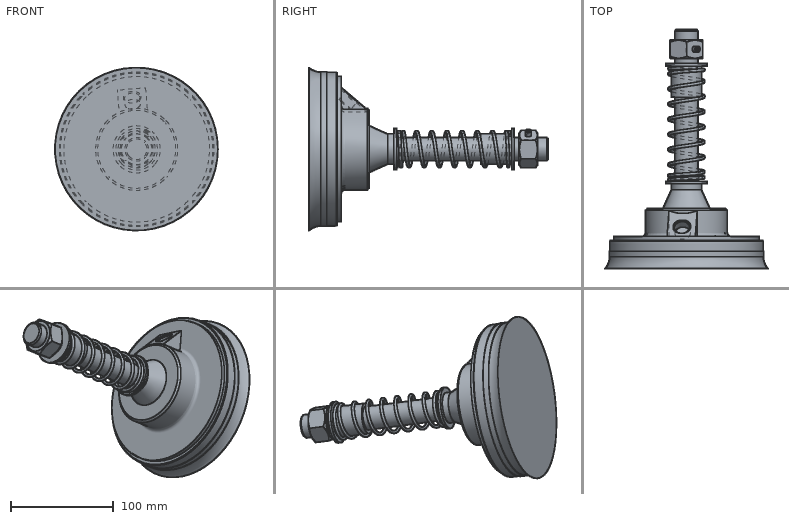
import cadquery as cq
import math


lip_radius = 79.455
lip_edge_height = 2.1
lip_edge_radius = 77.9
lip_curve_height = 6.5
lip_curve_radius = 75.9
lip_root_height = 11.4
band_radius = 75.4
band_top = 17.2
rim_radius = 75.0
rim_bevel_start = 24.7
rim_bevel = 0.15
rim_top = 27.6
rim_chamfer = 0.8
plate_radius = 71.0
plate_top = 31.6

hub_radius = 40.0
hub_top = 58.7
hub_chamfer = 2.0
hub_foot_fillet = 3.4
cone_base_radius = 23.0
cone_neck_radius = 14.83
cone_top = 76.7
collar_radius = 15.0

stem_radius = 11.495
stem_top = 233.01
stem_chamfer = 1.5
washer_radius = 20.245
washer_thickness = 2.6
lower_washer_base = 82.8
upper_washer_base = 197.4
sleeve_radius = collar_radius
sleeve_base = 167.2

wire_diameter = 2.9
spring_radius = 16.65
spring_datum_height = 86.8
spring_first_turn = -0.35
spring_last_turn = 9.35
lower_dead_pitch = 4.0
active_pitch = 14.77
upper_dead_pitch = 2.6
lower_ramp = (1.1, 1.7)
upper_ramp = (7.9, 8.5)
points_per_turn = 12

nut_across_flats = 31.8
nut_across_corners = nut_across_flats / math.cos(math.pi / 6)
nut_base = 204.6
nut_thickness = 18.4
nut_top = nut_base + nut_thickness
nut_end_radius = 15.2
nut_chamfer_angle = 35.0
nut_turn = 1.5
screw_diameter = 6.0
screw_tip_diameter = 4.92
screw_root = 12.0
screw_reach = 21.2
socket_across_corners = 3.0
socket_depth = 2.0

boss_width = 27.6
boss_turn = 5.0
boss_top_height = 56.7
boss_top_reach = 37.5
boss_foot_reach = 59.0
boss_slope = (boss_foot_reach - boss_top_reach) / (boss_top_height - plate_top)
port_diameter = 14.95
port_mouth_diameter = 17.2
port_depth = 9.3
port_height = 40.9


def revolve_about_stem(profile):
    return profile.close().revolve(360, (0, 0, 0), (0, 1, 0))


def turn_about_stem(body, degrees):
    return body.rotate((0, 0, 0), (0, 1, 0), degrees)


def make_disc(radius, base, top):
    return cq.Workplane("XZ", origin=(0, base, 0)).circle(radius).extrude(base - top)


def make_cup():
    profile = (
        cq.Workplane("XY")
        .lineTo(lip_radius, 0)
        .lineTo(lip_edge_radius, lip_edge_height)
        .threePointArc((lip_curve_radius, lip_curve_height), (rim_radius, lip_root_height))
        .lineTo(band_radius, lip_root_height)
        .lineTo(band_radius, band_top)
        .lineTo(rim_radius, band_top)
        .lineTo(rim_radius, rim_bevel_start)
        .lineTo(rim_radius - rim_bevel, rim_top - rim_chamfer)
        .lineTo(rim_radius - rim_chamfer, rim_top)
        .lineTo(plate_radius, rim_top)
        .lineTo(plate_radius, plate_top)
        .lineTo(0, plate_top)
    )
    return revolve_about_stem(profile)


def make_hub_and_stem():
    foot_radius = hub_radius + hub_foot_fillet
    foot_top = plate_top + hub_foot_fillet
    arc_offset = hub_foot_fillet * (1 - math.sqrt(0.5))
    profile = (
        cq.Workplane("XY")
        .moveTo(0, rim_top)
        .lineTo(foot_radius, rim_top)
        .lineTo(foot_radius, plate_top)
        .threePointArc((hub_radius + arc_offset, plate_top + arc_offset), (hub_radius, foot_top))
        .lineTo(hub_radius, hub_top - hub_chamfer)
        .lineTo(hub_radius - hub_chamfer, hub_top)
        .lineTo(cone_base_radius, hub_top)
        .lineTo(cone_neck_radius, cone_top)
        .lineTo(collar_radius, cone_top)
        .lineTo(collar_radius, lower_washer_base)
        .lineTo(stem_radius, lower_washer_base)
        .lineTo(stem_radius, stem_top - stem_chamfer)
        .lineTo(stem_radius - stem_chamfer, stem_top)
        .lineTo(0, stem_top)
    )
    return revolve_about_stem(profile)


def make_port_boss():
    wedge = [
        (rim_top, 0),
        (rim_top, boss_foot_reach),
        (plate_top, boss_foot_reach),
        (boss_top_height, boss_top_reach),
        (boss_top_height, 0),
    ]
    boss = cq.Workplane("YZ").polyline(wedge).close().extrude(boss_width / 2, both=True)
    return turn_about_stem(boss, -boss_turn)


def make_port():
    port_reach = boss_foot_reach - boss_slope * (port_height - plate_top)
    mouth_depth = (port_mouth_diameter - port_diameter) / 2
    face = cq.Plane(origin=(0, port_height, port_reach), xDir=(1, 0, 0), normal=(0, boss_slope, 1))
    bore = cq.Workplane(face).circle(port_diameter / 2).extrude(-port_depth)
    mouth = cq.Workplane(face).circle(port_mouth_diameter / 2).extrude(-mouth_depth, taper=45)
    return turn_about_stem(bore.union(mouth), -boss_turn)


def make_washer(base):
    return make_disc(washer_radius, base, base + washer_thickness)


def turns_past_ramp(turn, ramp):
    """Turns made after a gradual pitch change, counting those within it by how far it has gone."""
    start, end = ramp
    if turn <= start:
        return 0
    if turn < end:
        return (turn - start) ** 2 / (2 * (end - start))
    return turn - (start + end) / 2


def spring_point(turn):
    height = spring_datum_height + lower_dead_pitch * turn
    height += (active_pitch - lower_dead_pitch) * turns_past_ramp(turn, lower_ramp)
    height += (upper_dead_pitch - active_pitch) * turns_past_ramp(turn, upper_ramp)
    angle = 2 * math.pi * turn
    return (-spring_radius * math.cos(angle), height, spring_radius * math.sin(angle))


def make_spring():
    turns = spring_last_turn - spring_first_turn
    steps = round(turns * points_per_turn)
    points = [spring_point(spring_first_turn + turns * step / steps) for step in range(steps + 1)]
    path = cq.Workplane("XY").spline(points)
    wire_end = cq.Plane(origin=points[0], xDir=(1, 0, 0), normal=path.val().tangentAt(0))
    return cq.Workplane(wire_end).circle(wire_diameter / 2).sweep(path, isFrenet=True)


def make_nut():
    corner_radius = nut_across_corners / 2
    drop = (corner_radius - nut_end_radius) * math.tan(math.radians(nut_chamfer_angle))
    hexagon = (
        cq.Workplane("XZ", origin=(0, nut_base, 0))
        .transformed(rotate=(0, 0, 90))
        .polygon(6, nut_across_corners)
        .extrude(-nut_thickness)
    )
    chamfered_round = revolve_about_stem(
        cq.Workplane("XY")
        .moveTo(0, nut_base)
        .lineTo(nut_end_radius, nut_base)
        .lineTo(corner_radius, nut_base + drop)
        .lineTo(corner_radius, nut_top - drop)
        .lineTo(nut_end_radius, nut_top)
        .lineTo(0, nut_top)
    )
    return hexagon.intersect(chamfered_round)


def make_lock_screw():
    """Screw along +Z with a hexagon socket in its tip, leaned over onto the nut's upper +X flat."""
    middle = (nut_base + nut_top) / 2
    flat_angle = 30
    tip_chamfer = (screw_diameter - screw_tip_diameter) / 2
    screw = (
        cq.Workplane("XY", origin=(0, middle, screw_root))
        .circle(screw_diameter / 2)
        .extrude(screw_reach - screw_root)
        .faces(">Z")
        .chamfer(tip_chamfer)
        .faces(">Z")
        .workplane()
        .polygon(6, socket_across_corners)
        .cutBlind(-socket_depth)
    )
    return turn_about_stem(screw, flat_angle)


nut = make_nut().union(make_lock_screw())

result = make_cup().union(make_hub_and_stem())
result = result.union(make_port_boss()).cut(make_port())
result = result.union(make_washer(lower_washer_base))
result = result.union(make_washer(upper_washer_base))
result = result.union(make_disc(sleeve_radius, sleeve_base, upper_washer_base))
result = result.union(turn_about_stem(nut, nut_turn))
result = result.union(make_spring())